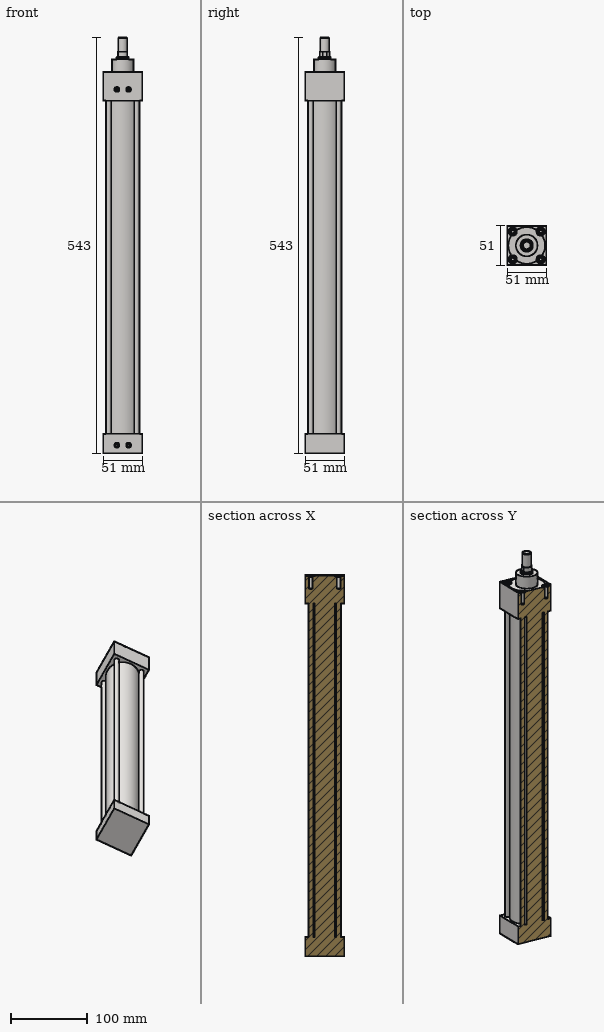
import cadquery as cq
import math

total_height = 543.0
base_height = 25.5
head_bottom = 460.5
head_top = 498.0
collar_top = 514.0
lip_top = 517.5

cap_side = 51.0
face_recess_radius = 24.0
face_recess_depth = 0.5

tube_radius = 22.0
tie_rod_radius = 3.0
tie_rod_pitch = 36.5
tie_rod_offset = tie_rod_pitch / 2

collar_radius = 14.0
lip_radius = 8.0
lip_chamfer = 1.0

rod_diameter = 13.5
rod_radius = rod_diameter / 2
thread_radius = 6.0
thread_chamfer = 1.0
flats_top = 524.0
flats_width = 12.5
rod_bottom = head_bottom

corner_bore_radius = 5.5
corner_bore_depth = 1.0
corner_sink_radius = 4.0
corner_hole_radius = 2.0
corner_hole_depth = 16.5

port_offset = 7.5
port_sink_radius = 3.0
port_hole_radius = 1.5
port_hole_depth = 8.0
head_port_height = 475.0
base_port_height = 11.0

drill_point_angle = 118.0


def cylinder(radius, bottom, top):
    """Upright cylinder on the Z axis between two heights."""
    return cq.Workplane("XY").workplane(offset=bottom).circle(radius).extrude(top - bottom)


def cap(bottom, top):
    """Square end cap between two heights."""
    return cq.Workplane("XY").workplane(offset=bottom).rect(cap_side, cap_side).extrude(top - bottom)


def tapped_hole(sink_radius, hole_radius, depth, mouth, direction):
    """Countersunk blind hole with a drill point, running from its mouth along a direction."""
    sink_depth = sink_radius - hole_radius
    point_depth = hole_radius / math.tan(math.radians(drill_point_angle / 2))
    profile = (
        cq.Workplane("XZ")
        .polyline([
            (0, 0),
            (sink_radius, 0),
            (hole_radius, sink_depth),
            (hole_radius, depth),
            (0, depth + point_depth),
        ])
        .close()
    )
    hole = profile.revolve(360, (0, 0), (0, 1)).val()
    return cq.Workplane(hole.moved(cq.Plane(origin=mouth, normal=direction).location))


def corner_hole(x, y):
    """Counterbored tapped hole running down from the top face of the head."""
    bore_floor = head_top - corner_bore_depth
    bore = cylinder(corner_bore_radius, bore_floor, head_top).translate((x, y, 0))
    thread = tapped_hole(
        corner_sink_radius, corner_hole_radius, corner_hole_depth, (x, y, bore_floor), (0, 0, -1)
    )
    return bore.union(thread)


def port_hole(x, z):
    """Tapped hole running in from the -Y face of a cap."""
    mouth = (x, -cap_side / 2, z)
    return tapped_hole(port_sink_radius, port_hole_radius, port_hole_depth, mouth, (0, 1, 0))


def build_housing():
    """Caps, tube, tie rods, collar and wiper lip, bored for the piston rod."""
    tie_rod_centres = [
        (x, y)
        for x in (-tie_rod_offset, tie_rod_offset)
        for y in (-tie_rod_offset, tie_rod_offset)
    ]
    tie_rods = (
        cq.Workplane("XY").workplane(offset=base_height).pushPoints(tie_rod_centres)
        .circle(tie_rod_radius).extrude(head_bottom - base_height)
    )
    recess_floor = head_top - face_recess_depth
    head = cap(head_bottom, head_top).cut(cylinder(face_recess_radius, recess_floor, head_top))
    lip = cylinder(lip_radius, collar_top, lip_top).faces(">Z").chamfer(lip_chamfer)
    housing = (
        cap(0, base_height)
        .union(cylinder(tube_radius, base_height, head_bottom))
        .union(tie_rods)
        .union(head)
        .union(cylinder(collar_radius, recess_floor, collar_top))
        .union(lip)
        .cut(cylinder(rod_radius, rod_bottom, lip_top))
    )
    for x, y in tie_rod_centres:
        housing = housing.cut(corner_hole(x, y))
    for x in (-port_offset, port_offset):
        for z in (base_port_height, head_port_height):
            housing = housing.cut(port_hole(x, z))
    return housing


def build_piston_rod():
    """Rod with two wrench flats facing -X and +X below a thinner threaded end."""
    flats = (
        cq.Workplane("XY").workplane(offset=lip_top)
        .rect(flats_width, 2 * rod_radius).extrude(flats_top - lip_top)
    )
    flatted = cylinder(rod_radius, lip_top, flats_top).intersect(flats)
    thread = cylinder(thread_radius, flats_top, total_height).faces(">Z").chamfer(thread_chamfer)
    return cylinder(rod_radius, rod_bottom, lip_top).union(flatted).union(thread)


housing = build_housing()
piston_rod = build_piston_rod()
result = cq.Compound.makeCompound([housing.val(), piston_rod.val()])